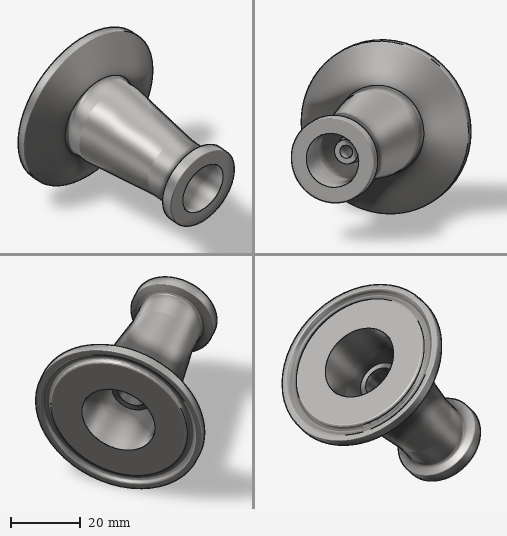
import cadquery as cq
import math

LENGTH = 50.8
CONE_START = 12.7
CONE_END = 38.1

LARGE_TUBE_RADIUS = 12.7
LARGE_BORE_RADIUS = 22.1 / 2
SMALL_TUBE_RADIUS = 19.05 / 2
SMALL_BORE_RADIUS = 15.75 / 2
WALL = LARGE_TUBE_RADIUS - LARGE_BORE_RADIUS

LARGE_FLANGE_RADIUS = 50.4 / 2
LARGE_RIM_WIDTH = 2.85
SMALL_FLANGE_RADIUS = 25.0 / 2
SMALL_RIM_WIDTH = 3.6
FLANGE_BACK_ANGLE = 19.6
LARGE_NECK_START = 7.1
LARGE_NECK_END = 8.3
SMALL_NECK_FILLET = 1.05
RIM_FILLET = 0.3

GROOVE_CENTER_RADIUS = 21.85
GROOVE_DEPTH = 1.3
GROOVE_ARC_RADIUS = 1.2
GROOVE_FLANK_ANGLE = 53.0
GROOVE_LIP_FILLET = 0.75

INNER_LARGE_RADIUS = 6.35
INNER_SMALL_HOLE_RADIUS = 3.8 / 2


def revolve_about_x(profile):
    """Full revolution of an XY profile, where Y is the radius."""
    return profile.close().revolve(360, (0, 0, 0), (1, 0, 0))


def fillet_circle(body, x, radius, size):
    """Round the circular edge of the given radius that lies at station x."""
    tolerance = 0.0005

    def matches(edge):
        if edge.geomType() != "CIRCLE":
            return False
        return abs(edge.Center().x - x) < tolerance and abs(edge.radius() - radius) < tolerance

    return body.newObject([edge for edge in body.edges().vals() if matches(edge)]).fillet(size)


def cut_gasket_groove(body):
    """Round-bottomed ring groove with a sloped outer flank and rounded lips."""
    flank = math.radians(GROOVE_FLANK_ANGLE)
    arc_x = GROOVE_DEPTH - GROOVE_ARC_RADIUS
    inner_lip = GROOVE_CENTER_RADIUS - math.sqrt(GROOVE_ARC_RADIUS**2 - arc_x**2)
    flank_x = arc_x + GROOVE_ARC_RADIUS * math.cos(flank)
    flank_radius = GROOVE_CENTER_RADIUS + GROOVE_ARC_RADIUS * math.sin(flank)
    outer_lip = flank_radius + flank_x / math.tan(flank)

    groove = revolve_about_x(
        cq.Workplane("XY")
        .moveTo(0, inner_lip)
        .threePointArc((GROOVE_DEPTH, GROOVE_CENTER_RADIUS), (flank_x, flank_radius))
        .lineTo(0, outer_lip)
    )
    body = body.cut(groove)
    for lip_radius in (inner_lip, outer_lip):
        body = fillet_circle(body, 0, lip_radius, GROOVE_LIP_FILLET)
    return body


def make_reducer():
    """Conical reducer with a bored clamp flange at each end."""
    back_slope = math.tan(math.radians(FLANGE_BACK_ANGLE))
    small_rim_start = LENGTH - SMALL_RIM_WIDTH
    large_neck_radius = LARGE_FLANGE_RADIUS - (LARGE_NECK_START - LARGE_RIM_WIDTH) / back_slope
    small_neck = small_rim_start - (SMALL_FLANGE_RADIUS - SMALL_TUBE_RADIUS) * back_slope

    body = revolve_about_x(
        cq.Workplane("XY")
        .moveTo(0, LARGE_BORE_RADIUS)
        .lineTo(CONE_START, LARGE_BORE_RADIUS)
        .lineTo(CONE_END, SMALL_BORE_RADIUS)
        .lineTo(LENGTH, SMALL_BORE_RADIUS)
        .lineTo(LENGTH, SMALL_FLANGE_RADIUS)
        .lineTo(small_rim_start, SMALL_FLANGE_RADIUS)
        .lineTo(small_neck, SMALL_TUBE_RADIUS)
        .lineTo(CONE_END, SMALL_TUBE_RADIUS)
        .lineTo(CONE_START, LARGE_TUBE_RADIUS)
        .lineTo(LARGE_NECK_END, LARGE_TUBE_RADIUS)
        .tangentArcPoint((LARGE_NECK_START, large_neck_radius), relative=False)
        .lineTo(LARGE_RIM_WIDTH, LARGE_FLANGE_RADIUS)
        .lineTo(0, LARGE_FLANGE_RADIUS)
    )
    body = fillet_circle(body, small_neck, SMALL_TUBE_RADIUS, SMALL_NECK_FILLET)
    for x in (0, LARGE_RIM_WIDTH):
        body = fillet_circle(body, x, LARGE_FLANGE_RADIUS, RIM_FILLET)
    for x in (small_rim_start, LENGTH):
        body = fillet_circle(body, x, SMALL_FLANGE_RADIUS, RIM_FILLET)
    return cut_gasket_groove(body)


def make_inner_cone():
    """Separate hollow cone on the same axis, as long as the tapered part of the reducer."""
    return revolve_about_x(
        cq.Workplane("XY")
        .moveTo(CONE_START, INNER_LARGE_RADIUS - WALL)
        .lineTo(CONE_START, INNER_LARGE_RADIUS)
        .lineTo(CONE_END, INNER_SMALL_HOLE_RADIUS + WALL)
        .lineTo(CONE_END, INNER_SMALL_HOLE_RADIUS)
    )


reducer = make_reducer()
inner_cone = make_inner_cone()

result = cq.Compound.makeCompound([reducer.val(), inner_cone.val()])